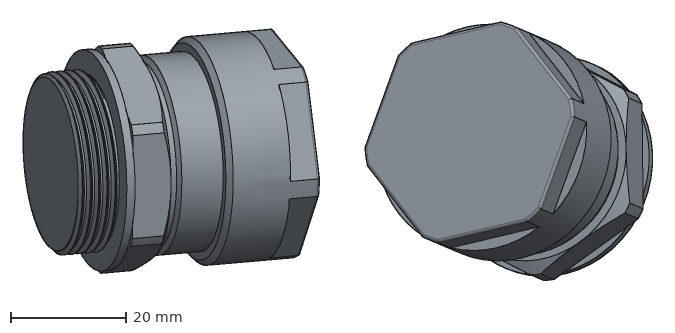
import cadquery as cq
import math


THREAD_LENGTH = 7.5
FLANGE_THICKNESS = 1.5
HEX_LENGTH = 7.0
GROOVE_LENGTH = 1.5
NECK_LENGTH = 8.2
CAP_LENGTH = 16.91
CAP_FLATS_LENGTH = 5.45

HEX_SIDES = 6
FLANGE_DIAMETER = 38.5
HEX_ACROSS_FLATS = 36.0
HEX_CORNER_DIAMETER = 40.5
GROOVE_DIAMETER = 33.0
NECK_DIAMETER = 34.85
CAP_DIAMETER = 39.8
CAP_ACROSS_FLATS = 36.0

HEX_CORNER_ANGLE = 29.3
CAP_CORNER_ANGLE = -8.1

HEX_CHAMFER_ANGLE = 30.0
NECK_TAPER_LENGTH = 0.65
CAP_CHAMFER = 1.0
CAP_REAR_FILLET = 0.5

PITCH = 1.5
THREAD_DIAMETER = 31.85
ROOT_DIAMETER = 30.23
FLANK_ANGLE = 30.0
THREAD_START = 0.25
CREST_WIDTH = PITCH / 8
CREST_CLEARANCE = 0.5
ROOT_OVERLAP = 0.1

FLANGE_REAR = -FLANGE_THICKNESS
HEX_REAR = FLANGE_REAR - HEX_LENGTH
GROOVE_REAR = HEX_REAR - GROOVE_LENGTH
NECK_REAR = GROOVE_REAR - NECK_LENGTH
CAP_REAR = NECK_REAR - CAP_LENGTH


def cylinder(diameter, start, end):
    """Round bar on the axis between two axial positions."""
    return cq.Workplane("XY").workplane(offset=start).circle(diameter / 2).extrude(end - start)


def turned(profile):
    """Solid of revolution about the axis from (radius, axial position) points."""
    return cq.Workplane("XZ").polyline(profile).close().revolve(360, (0, 0, 0), (0, 1, 0))


def hexagon(across_flats, corner_angle, start, end):
    """Hexagonal bar on the axis between two axial positions."""
    corner_diameter = across_flats / math.cos(math.pi / HEX_SIDES)
    bar = cq.Workplane("XY").workplane(offset=start).polygon(HEX_SIDES, corner_diameter).extrude(end - start)
    return bar.rotate((0, 0, 0), (0, 0, 1), corner_angle)


def make_thread():
    """Threaded spigot: root core plus a right-hand helical ridge."""
    root_radius = ROOT_DIAMETER / 2
    crest_radius = THREAD_DIAMETER / 2
    flank_slope = math.tan(math.radians(FLANK_ANGLE))
    flank_width = (crest_radius - root_radius) * flank_slope
    base_radius = root_radius - ROOT_OVERLAP
    half_crest = CREST_WIDTH / 2
    half_base = half_crest + (crest_radius - base_radius) * flank_slope

    last_crest = THREAD_LENGTH - flank_width - half_crest
    turns = math.ceil(THREAD_LENGTH / PITCH) + 2
    first_crest = last_crest - (turns - 1) * PITCH
    path = cq.Wire.makeHelix(PITCH, turns * PITCH, base_radius).translate(cq.Vector(0, 0, first_crest))
    ridge = (
        cq.Workplane("XZ")
        .polyline([
            (base_radius, first_crest - half_base),
            (crest_radius, first_crest - half_crest),
            (crest_radius, first_crest + half_crest),
            (base_radius, first_crest + half_base),
        ])
        .close()
        .sweep(cq.Workplane(path), isFrenet=True)
    )

    clear_radius = crest_radius + CREST_CLEARANCE
    lead_in = (clear_radius - root_radius) * flank_slope
    envelope = turned([
        (0, THREAD_START),
        (root_radius, THREAD_START),
        (clear_radius, THREAD_START + lead_in),
        (clear_radius, THREAD_LENGTH - lead_in),
        (root_radius, THREAD_LENGTH),
        (0, THREAD_LENGTH),
    ])
    core = cylinder(ROOT_DIAMETER, FLANGE_REAR, THREAD_LENGTH)
    return core.union(ridge.intersect(envelope))


def make_hex():
    """Wrench hexagon with trimmed corners and a cone chamfer at the rear."""
    corner_radius = HEX_CORNER_DIAMETER / 2
    flat_radius = HEX_ACROSS_FLATS / 2
    chamfer_length = (corner_radius - flat_radius) * math.tan(math.radians(HEX_CHAMFER_ANGLE))
    trim = turned([
        (0, HEX_REAR),
        (flat_radius, HEX_REAR),
        (corner_radius, HEX_REAR + chamfer_length),
        (corner_radius, FLANGE_REAR),
        (0, FLANGE_REAR),
    ])
    return hexagon(HEX_ACROSS_FLATS, HEX_CORNER_ANGLE, HEX_REAR, FLANGE_REAR).intersect(trim)


def make_neck():
    """Plain neck with a short cone that tapers down to the groove."""
    neck_radius = NECK_DIAMETER / 2
    return turned([
        (0, NECK_REAR),
        (neck_radius, NECK_REAR),
        (neck_radius, GROOVE_REAR - NECK_TAPER_LENGTH),
        (GROOVE_DIAMETER / 2, GROOVE_REAR),
        (0, GROOVE_REAR),
    ])


def make_cap():
    """Cap nut: round body with six flats at its rounded rear end."""
    flats_end = CAP_REAR + CAP_FLATS_LENGTH
    body = cylinder(CAP_DIAMETER, flats_end, NECK_REAR).faces(">Z").chamfer(CAP_CHAMFER)
    flats = hexagon(CAP_ACROSS_FLATS, CAP_CORNER_ANGLE, CAP_REAR, flats_end)
    flats = flats.intersect(cylinder(CAP_DIAMETER, CAP_REAR, flats_end))
    return body.union(flats.faces("<Z").edges().fillet(CAP_REAR_FILLET))


flange = cylinder(FLANGE_DIAMETER, FLANGE_REAR, 0)
groove = cylinder(GROOVE_DIAMETER, GROOVE_REAR, HEX_REAR)

gland = make_cap().union(make_neck()).union(groove).union(make_hex()).union(flange).union(make_thread())

result = gland.rotate((0, 0, 0), (1, 0, 0), 90)